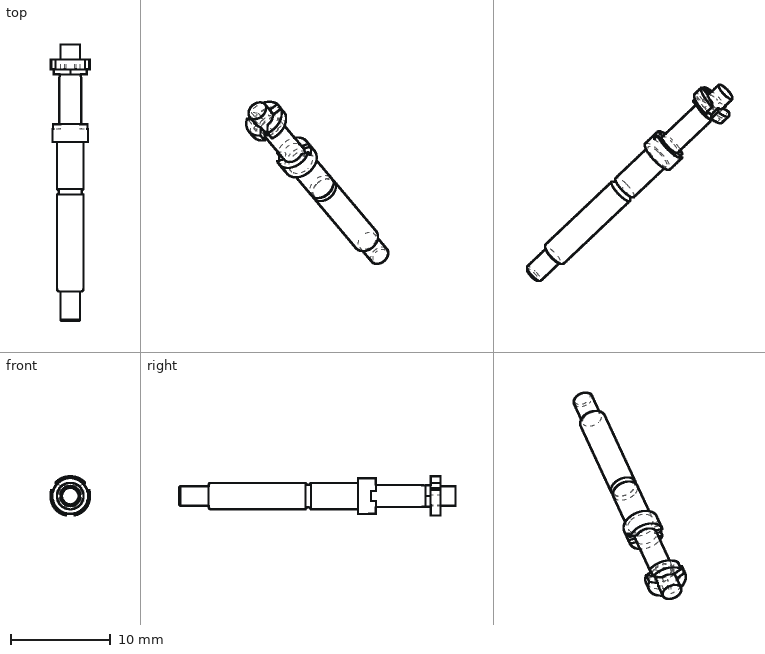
import cadquery as cq
import math

total_length = 27.8
head_start = 1.5
head_end = 2.5
key_end = 3.0
neck_start = 3.4
collar_start = 8.0
collar_end = 9.8
groove_start = 14.55
groove_end = 15.1
body_end = 24.83

stub_radius = 1.0
head_radius = 2.0
neck_radius = 1.1
neck_root_radius = 1.05
collar_radius = 1.8
body_radius = 1.33
groove_radius = 1.15

shoulder_rounding = 0.25
tip_chamfer = 0.17

key_half_width = 1.67
key_half_height = 1.08

head_slot_width = 0.8
head_slot_angles = (30, 150, 270)
collar_slot_height = 1.0
collar_slot_depth = 0.5


def along_axis(profile, start, end):
    """Extrude an XZ profile along the pin axis between two distances from the rear end."""
    rear = total_length / 2 - start
    return profile(cq.Workplane("XZ", origin=(0, rear, 0))).extrude(end - start)


def cylinder(radius, start, end):
    return along_axis(lambda plane: plane.circle(radius), start, end)


def turned(outline):
    """Close a half outline in the XY plane and revolve it about the pin axis."""
    return outline.close().revolve(360, (0, 0, 0), (0, 1, 0))


def at(radius, distance):
    """Outline point at a radius and a distance from the rear end."""
    return (radius, total_length / 2 - distance)


def slotted_head():
    """Disc with three radial slots that reach down to the stub surface."""
    head = cylinder(head_radius, head_start, head_end)
    for angle in head_slot_angles:
        slot = along_axis(
            lambda plane: plane.center(head_radius, 0).rect(2 * head_radius, head_slot_width),
            head_start,
            head_end,
        )
        head = head.cut(slot.rotate((0, 0, 0), (0, 1, 0), -angle))
    return head.union(cylinder(stub_radius, 0, head_end))


def rhombic_key():
    corners = [
        (key_half_width, 0),
        (0, key_half_height),
        (-key_half_width, 0),
        (0, -key_half_height),
    ]
    return along_axis(lambda plane: plane.polyline(corners).close(), head_end, key_end)


def slotted_collar():
    """Collar with a crosswise slot in its rear face."""
    collar = cylinder(collar_radius, collar_start, collar_end)
    slot = along_axis(
        lambda plane: plane.rect(2 * collar_radius, collar_slot_height),
        collar_start,
        collar_start + collar_slot_depth,
    )
    return collar.cut(slot)


def neck():
    """Neck that widens from the key and runs into the collar."""
    return turned(
        cq.Workplane("XY")
        .moveTo(*at(0, key_end))
        .lineTo(*at(neck_root_radius, key_end))
        .lineTo(*at(neck_radius, neck_start))
        .lineTo(*at(neck_radius, collar_end))
        .lineTo(*at(0, collar_end))
    )


def body_and_tip():
    """Main shaft with a round groove, rounded front shoulder and reduced tip."""
    groove_middle = (groove_start + groove_end) / 2
    rounding_inset = shoulder_rounding * (1 - math.sqrt(0.5))
    return turned(
        cq.Workplane("XY")
        .moveTo(*at(0, collar_end))
        .lineTo(*at(body_radius, collar_end))
        .lineTo(*at(body_radius, groove_start))
        .threePointArc(at(groove_radius, groove_middle), at(body_radius, groove_end))
        .lineTo(*at(body_radius, body_end - shoulder_rounding))
        .threePointArc(
            at(body_radius - rounding_inset, body_end - rounding_inset),
            at(body_radius - shoulder_rounding, body_end),
        )
        .lineTo(*at(stub_radius, body_end))
        .lineTo(*at(stub_radius, total_length - tip_chamfer))
        .lineTo(*at(stub_radius - tip_chamfer, total_length))
        .lineTo(*at(0, total_length))
    )


result = slotted_head()
for section in (rhombic_key(), neck(), slotted_collar(), body_and_tip()):
    result = result.union(section)